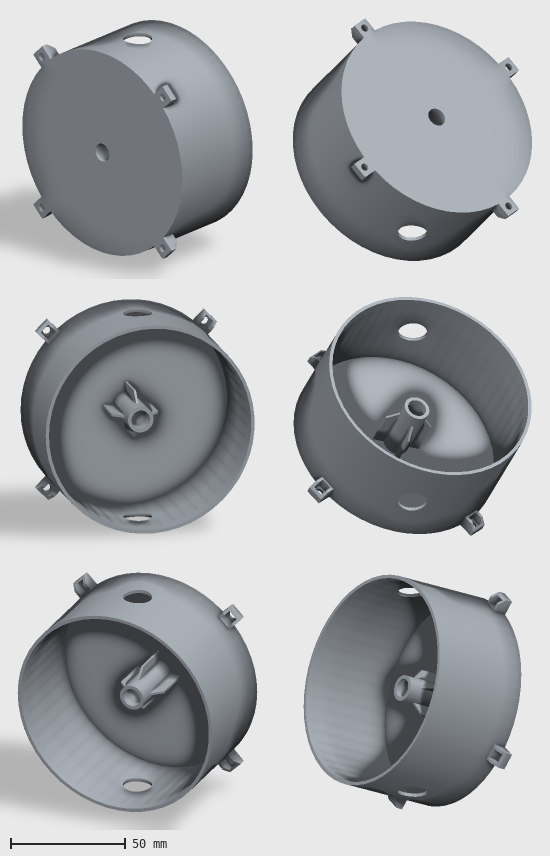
import cadquery as cq

outer_diameter = 94.0
inner_diameter = 91.0
depth = 46.0
wall = (outer_diameter - inner_diameter) / 2
floor_thickness = wall

tube_diameter = 11.5
bore_diameter = 8.3
tube_height = 28.8

rib_count = 4
rib_thickness = 1.0
rib_height = 22.6
rib_reach = 4.7
rib_chamfer = rib_reach

side_hole_diameter = 12.7

lug_count = 4
lug_start_angle = 45
lug_tip_radius = 53.7
lug_width = 7.5
lug_height = 6.1
lug_chamfer = 3.0
lug_hole_radius = 50.2
lug_hole_diameter = 3.5
nut_width = 4.9
nut_seat_height = 1.5

outer_radius = outer_diameter / 2
tube_radius = tube_diameter / 2


def disc(diameter, start, height, x=0.0):
    """Cylinder along +Y from Y = start, centred at the given X."""
    return (
        cq.Workplane("XZ", origin=(x, start, 0))
        .circle(diameter / 2)
        .extrude(-height)
    )


def plate(profile, thickness):
    """Plate with a profile of (radius, height) points, centred on Z = 0."""
    return cq.Workplane("XY").polyline(profile).close().extrude(thickness / 2, both=True)


def around_axis(shape, count, start_angle):
    """Copies of a shape spaced evenly around the Y axis."""
    step = 360 / count
    copies = cq.Workplane("XY")
    for index in range(count):
        copies = copies.add(shape.rotate((0, 0, 0), (0, 1, 0), start_angle + index * step))
    return copies.combine()


def make_shell():
    cavity = disc(inner_diameter, floor_thickness, depth - floor_thickness)
    return disc(outer_diameter, 0, depth).cut(cavity)


def make_rib():
    root = (tube_diameter + bore_diameter) / 4
    tip = tube_radius + rib_reach
    profile = [
        (root, 0),
        (tip, 0),
        (tip, rib_height - rib_chamfer),
        (tube_radius, rib_height),
        (root, rib_height),
    ]
    return plate(profile, rib_thickness)


def make_lug():
    root = outer_radius - wall / 2
    profile = [
        (root, 0),
        (lug_tip_radius, 0),
        (lug_tip_radius, lug_height - lug_chamfer),
        (lug_tip_radius - lug_chamfer, lug_height),
        (root, lug_height),
    ]
    return plate(profile, lug_width)


def make_lug_cutout():
    screw_hole = disc(lug_hole_diameter, 0, lug_height, lug_hole_radius)
    pocket = (
        cq.Workplane("XZ", origin=(lug_hole_radius, nut_seat_height, 0))
        .rect(nut_width, nut_width)
        .extrude(nut_seat_height - lug_height)
    )
    return screw_hole.union(pocket)


side_holes = cq.Workplane("XY", origin=(0, depth / 2, 0)).circle(side_hole_diameter / 2)
side_holes = side_holes.extrude(outer_radius, both=True)

result = make_shell().cut(side_holes)
result = result.union(around_axis(make_lug(), lug_count, lug_start_angle))
result = result.cut(around_axis(make_lug_cutout(), lug_count, lug_start_angle))
result = result.union(disc(tube_diameter, 0, tube_height))
result = result.union(around_axis(make_rib(), rib_count, 0))
result = result.cut(disc(bore_diameter, 0, tube_height))